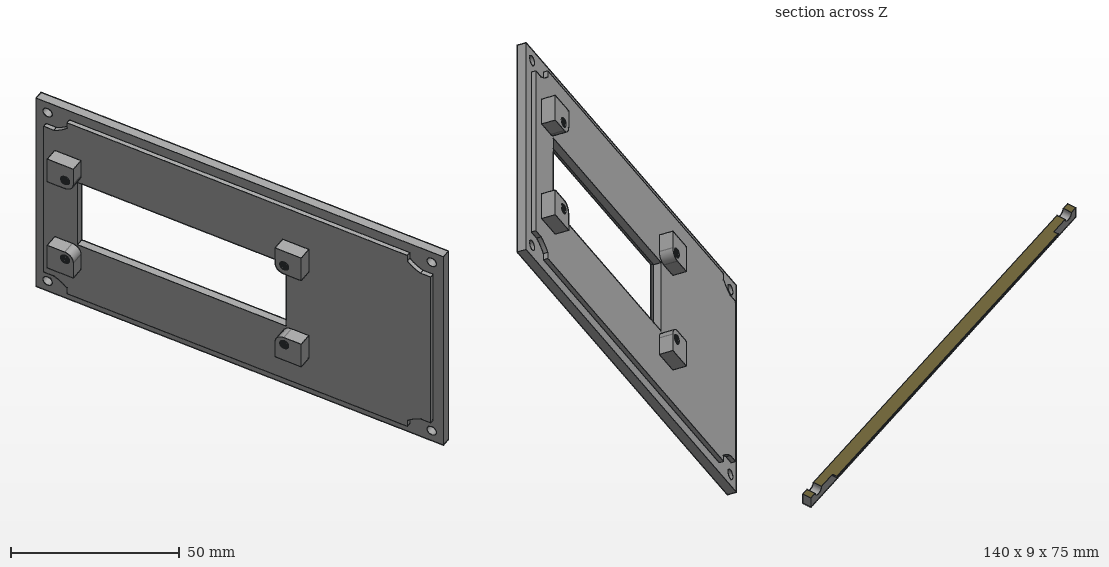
import cadquery as cq

PLATE_LENGTH = 140.0
PLATE_HEIGHT = 75.0
PLATE_THICKNESS = 3.0

SCREW_HOLE_DIAMETER = 3.2
SCREW_HOLE_INSET = 4.0

PANEL_MARGIN = 3.5
PANEL_THICKNESS = 1.5
PANEL_LENGTH = PLATE_LENGTH - 2 * PANEL_MARGIN
PANEL_HEIGHT = PLATE_HEIGHT - 2 * PANEL_MARGIN
RELIEF_LENGTH = 8.0
RELIEF_HEIGHT = 5.0
RELIEF_ARC_START = 3.5
RELIEF_ARC_END = 2.2
RELIEF_ARC_RADIUS = 12.0

DISPLAY_CENTER_X = -19.0
DISPLAY_CENTER_Z = -0.5
WINDOW_LENGTH = 71.7
WINDOW_HEIGHT = 24.8
WINDOW_BEVEL = 2.0
BOSS_SIZE = 9.0
BOSS_HEIGHT = 4.5
BOSS_HOLE_SPACING_X = 75.3
BOSS_HOLE_SPACING_Z = 31.3
BOSS_HOLE_EDGE = 3.0
BOSS_CORNER_RADIUS = 3.0

THREAD_ROOT_DIAMETER = 3.09
THREAD_BORE_DIAMETER = 2.53
THREAD_PITCH = 0.5

PANEL_FACE = PLATE_THICKNESS + PANEL_THICKNESS

CORNER_SIGNS = [(sx, sz) for sx in (-1, 1) for sz in (-1, 1)]


def front_plane(depth):
    """Sketch plane facing -Y, at the given distance in front of the back face."""
    return cq.Workplane("XZ", origin=(0, -depth, 0))


def plate():
    hole_x = PLATE_LENGTH / 2 - SCREW_HOLE_INSET
    hole_z = PLATE_HEIGHT / 2 - SCREW_HOLE_INSET
    holes = [(sx * hole_x, sz * hole_z) for sx, sz in CORNER_SIGNS]
    body = front_plane(0).rect(PLATE_LENGTH, PLATE_HEIGHT).extrude(PLATE_THICKNESS)
    cutter = front_plane(0).pushPoints(holes).circle(SCREW_HOLE_DIAMETER / 2).extrude(PLATE_THICKNESS)
    return body.cut(cutter)


def corner_relief(sx, sz):
    """Corner cut-out of the panel, its inner corner crossed by a shallow arc."""
    def point(from_side, from_end):
        return sx * (PANEL_LENGTH / 2 - from_side), sz * (PANEL_HEIGHT / 2 - from_end)

    radius = sx * sz * RELIEF_ARC_RADIUS
    return (
        front_plane(PLATE_THICKNESS)
        .moveTo(*point(0, 0))
        .lineTo(*point(0, RELIEF_HEIGHT))
        .lineTo(*point(RELIEF_ARC_START, RELIEF_HEIGHT))
        .radiusArc(point(RELIEF_LENGTH, RELIEF_ARC_END), radius)
        .lineTo(*point(RELIEF_LENGTH, 0))
        .close()
        .extrude(PANEL_THICKNESS)
    )


def panel():
    body = front_plane(PLATE_THICKNESS).rect(PANEL_LENGTH, PANEL_HEIGHT).extrude(PANEL_THICKNESS)
    for sx, sz in CORNER_SIGNS:
        body = body.cut(corner_relief(sx, sz))
    return body


def boss_hole_center(sx, sz):
    hole_x = DISPLAY_CENTER_X + sx * BOSS_HOLE_SPACING_X / 2
    hole_z = DISPLAY_CENTER_Z + sz * BOSS_HOLE_SPACING_Z / 2
    return hole_x, hole_z


def boss(sx, sz):
    """Square boss, rounded on the corner that faces the window."""
    hole_x, hole_z = boss_hole_center(sx, sz)
    offset = BOSS_SIZE / 2 - BOSS_HOLE_EDGE
    block = (
        front_plane(PANEL_FACE)
        .center(hole_x + sx * offset, hole_z + sz * offset)
        .rect(BOSS_SIZE, BOSS_SIZE)
        .extrude(BOSS_HEIGHT)
    )
    window_side_x = "<X" if sx > 0 else ">X"
    window_side_z = "<Z" if sz > 0 else ">Z"
    return block.faces(window_side_x).edges(window_side_z).fillet(BOSS_CORNER_RADIUS)


def boss_hole(sx, sz):
    """Blind tapped hole; the thread is a stack of V-shaped ring grooves."""
    bore_radius = THREAD_BORE_DIAMETER / 2
    root_radius = THREAD_ROOT_DIAMETER / 2
    profile = cq.Workplane("XY").lineTo(bore_radius, 0)
    for turn in range(round(BOSS_HEIGHT / THREAD_PITCH)):
        groove_start = -turn * THREAD_PITCH
        profile = profile.lineTo(root_radius, groove_start - THREAD_PITCH / 2)
        profile = profile.lineTo(bore_radius, groove_start - THREAD_PITCH)
    profile = profile.lineTo(0, -BOSS_HEIGHT).close()
    hole = profile.revolve(360, (0, 0, 0), (0, 1, 0))
    hole_x, hole_z = boss_hole_center(sx, sz)
    return hole.translate((hole_x, -PANEL_FACE, hole_z))


def window():
    """Through opening whose edges flare out at 45 degrees toward the back face."""
    opening = (
        front_plane(0)
        .center(DISPLAY_CENTER_X, DISPLAY_CENTER_Z)
        .rect(WINDOW_LENGTH, WINDOW_HEIGHT)
        .extrude(PANEL_FACE)
    )
    flare = (
        front_plane(0)
        .center(DISPLAY_CENTER_X, DISPLAY_CENTER_Z)
        .rect(WINDOW_LENGTH + 2 * WINDOW_BEVEL, WINDOW_HEIGHT + 2 * WINDOW_BEVEL)
        .workplane(offset=WINDOW_BEVEL)
        .rect(WINDOW_LENGTH, WINDOW_HEIGHT)
        .loft()
    )
    return opening.union(flare)


result = plate().union(panel()).cut(window())
for sign_x, sign_z in CORNER_SIGNS:
    result = result.union(boss(sign_x, sign_z)).cut(boss_hole(sign_x, sign_z))